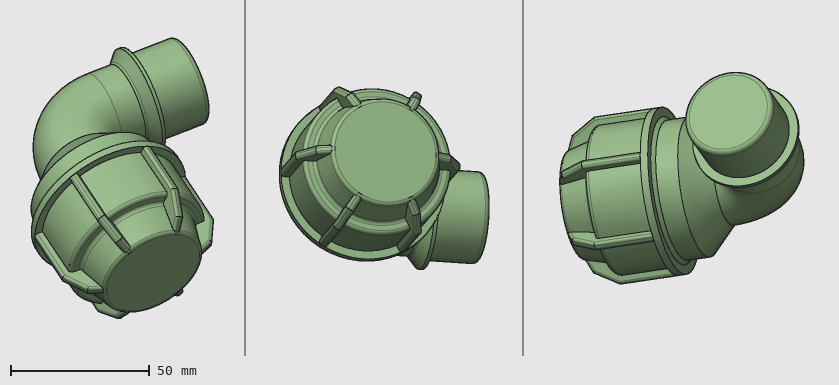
import cadquery as cq


elbow_radius = 31.05 / 2
bend_radius = 17.85

spigot_radius = 33.2 / 2
spigot_end = 53.0
spigot_end_fillet = 1.8
stop_radius = 39.9 / 2
stop_face = 33.0
stop_thickness = 1.3
stop_cone_radius = 32.0 / 2
stop_cone_start = 28.1
neck_end = 27.25

body_radius = 51.2 / 2
body_cone_end = 28.1
body_end = 36.5

flange_radius = 61.0 / 2
flange_start = 37.9
flange_thickness = 2.85
flange_end = flange_start + flange_thickness
back_cone_radius = body_radius + flange_start - body_end
nut_radius = 27.4
nut_shoulder = 62.8
shoulder_fillet = 1.4
nose_base_radius = 22.8
nose_tip_radius = 19.8
nose_base_fillet = 1.3
nose_end_fillet = 1.4
nut_end = 75.0

rib_count = 6
rib_width = 3.2
rib_edge_fillet = 1.0
rib_bend = 62.95
rib_knee = 72.2
rib_knee_radius = 25.1
rib_tip_radius = 18.8
rib_root_radius = 14.2


def make_elbow():
    """Quarter torus joining the body (facing +X) to the spigot (facing +Y)."""
    bend = (
        cq.Workplane("XY")
        .moveTo(0, bend_radius)
        .radiusArc((bend_radius, 0), -bend_radius)
    )
    return cq.Workplane("XZ", origin=(0, bend_radius, 0)).circle(elbow_radius).sweep(bend)


def make_spigot():
    """Neck, conical stop collar and plain pipe end, revolved about Y."""
    return (
        cq.Workplane("XY")
        .moveTo(0, bend_radius)
        .lineTo(elbow_radius, bend_radius)
        .lineTo(elbow_radius, neck_end)
        .lineTo(stop_cone_radius, stop_cone_start)
        .lineTo(stop_radius, stop_face - stop_thickness)
        .lineTo(stop_radius, stop_face)
        .lineTo(spigot_radius, stop_face)
        .lineTo(spigot_radius, spigot_end)
        .lineTo(0, spigot_end)
        .close()
        .revolve(360, (0, 0, 0), (0, 1, 0))
        .faces(">Y")
        .edges()
        .fillet(spigot_end_fillet)
    )


def make_body_and_nut():
    """Body cone and cylinder, nut flange, nut cylinder and tapered nose, revolved about X."""
    return (
        cq.Workplane("XY")
        .moveTo(bend_radius, 0)
        .lineTo(bend_radius, elbow_radius)
        .lineTo(body_cone_end, body_radius)
        .lineTo(body_end, body_radius)
        .lineTo(flange_start, back_cone_radius)
        .lineTo(flange_start, flange_radius)
        .lineTo(flange_end, flange_radius)
        .lineTo(flange_end, nut_radius)
        .lineTo(nut_shoulder - shoulder_fillet, nut_radius)
        .radiusArc((nut_shoulder, nut_radius - shoulder_fillet), shoulder_fillet)
        .lineTo(nut_shoulder, nose_base_radius + nose_base_fillet)
        .radiusArc((nut_shoulder + nose_base_fillet, nose_base_radius), -nose_base_fillet)
        .lineTo(nut_end, nose_tip_radius)
        .lineTo(nut_end, 0)
        .close()
        .revolve(360, (0, 0, 0), (1, 0, 0))
        .faces(">X")
        .edges()
        .fillet(nose_end_fillet)
    )


def make_rib():
    """One rib in the XY plane, with its outer edges rounded."""
    rib = (
        cq.Workplane("XY", origin=(0, 0, -rib_width / 2))
        .moveTo(flange_end, rib_root_radius)
        .lineTo(flange_end, flange_radius)
        .lineTo(rib_bend, flange_radius)
        .lineTo(rib_knee, rib_knee_radius)
        .lineTo(nut_end, rib_tip_radius)
        .lineTo(nut_end, rib_root_radius)
        .close()
        .extrude(rib_width)
    )
    outer_edges = rib.edges("#Z").edges("not (<X or >X or <Y)")
    return outer_edges.fillet(rib_edge_fillet)


result = make_elbow().union(make_spigot()).union(make_body_and_nut())
rib = make_rib()
for i in range(rib_count):
    result = result.union(rib.rotate((0, 0, 0), (1, 0, 0), i * 360 / rib_count))